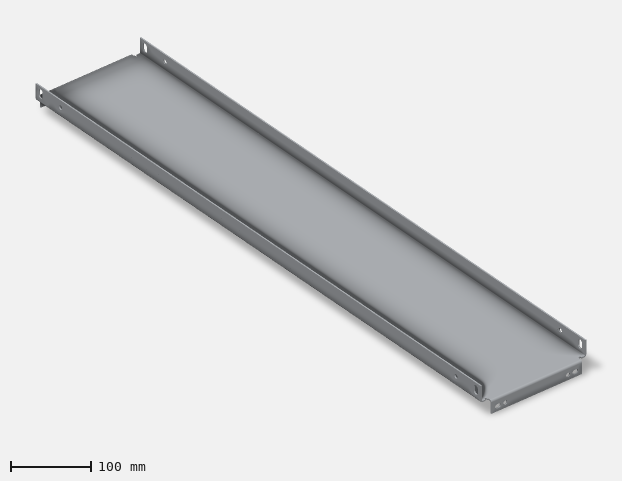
import cadquery as cq

length = 898.0
width = 169.0
height = 43.0

thickness = 2.0
inner_radius = 1.1
outer_radius = inner_radius + thickness

wall_height = 25.0
end_setback = 6.0
lip_width = 145.5
wall_length = length - 2 * end_setback
panel_bottom = height - wall_height
panel_top = panel_bottom + thickness

slit_depth = 3.0
slit_width = 3.0
slit_offset = 9.0

wall_hole_diameter = 6.0
wall_hole_x = 393.0
wall_slot_x = 433.0
wall_slot_length = 13.5
wall_slot_width = 8.0
wall_hole_drop = 11.0
wall_hole_z = height - wall_hole_drop

lip_hole_diameter = 6.0
lip_hole_y = 50.0
lip_slot_y = 62.0
lip_slot_length = 9.0
lip_slot_width = 6.0
lip_hole_z = 7.6


def channel(plane, span, depth, base, flange_height, direction):
    """Strip with both edges bent square; direction +1 bends up, -1 bends down."""
    bend_edges = "<Z" if direction > 0 else ">Z"
    bend_axis = "|Y" if plane == "XZ" else "|X"

    def block(block_span, block_base, radius):
        return (
            cq.Workplane(plane)
            .center(0, block_base + direction * flange_height / 2)
            .rect(block_span, flange_height)
            .extrude(depth / 2, both=True)
            .edges(bend_axis)
            .edges(bend_edges)
            .fillet(radius)
        )

    outside = block(span, base, outer_radius)
    inside = block(span - 2 * thickness, base + direction * thickness, inner_radius)
    return outside.cut(inside)


def hole_cutter(plane, across, hole_z, diameter, reach):
    """Round holes through both opposite flanges, mirrored about the middle."""
    return (
        cq.Workplane(plane)
        .pushPoints([(-across, hole_z), (across, hole_z)])
        .circle(diameter / 2)
        .extrude(reach, both=True)
    )


def slot_cutter(plane, across, slot_z, slot_length, slot_width, angle, reach):
    """Rounded slots through both opposite flanges, mirrored about the middle."""
    return (
        cq.Workplane(plane)
        .pushPoints([(-across, slot_z), (across, slot_z)])
        .slot2D(slot_length, slot_width, angle)
        .extrude(reach, both=True)
    )


side_walls = channel("YZ", width, wall_length, panel_bottom, wall_height, 1)
end_lips = channel("XZ", length, lip_width, panel_top, panel_top, -1)
tray = side_walls.union(end_lips)

slit_x = (wall_length - slit_depth) / 2
slit_y = width / 2 - slit_offset
slits = (
    cq.Workplane("XY", origin=(0, 0, panel_bottom))
    .rect(2 * slit_x, 2 * slit_y, forConstruction=True)
    .vertices()
    .rect(slit_depth, slit_width)
    .extrude(thickness)
)

wall_cutters = hole_cutter("XZ", wall_hole_x, wall_hole_z, wall_hole_diameter, width).union(
    slot_cutter("XZ", wall_slot_x, wall_hole_z, wall_slot_length, wall_slot_width, 90, width)
)
lip_cutters = hole_cutter("YZ", lip_hole_y, lip_hole_z, lip_hole_diameter, length).union(
    slot_cutter("YZ", lip_slot_y, lip_hole_z, lip_slot_length, lip_slot_width, 0, length)
)

result = tray.cut(slits).cut(wall_cutters).cut(lip_cutters)